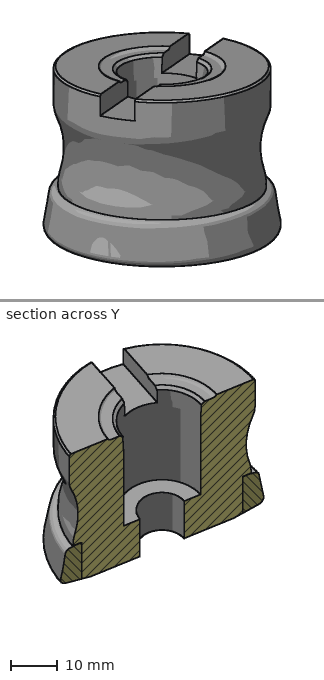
import cadquery as cq
import math

total_height = 38.1
foot_radius = 25.4
seat_height = 10.95

foot_taper = math.radians(9.5)
foot_rounding = 1.6
bottom_flat_radius = 17.75
spigot_radius = 20.15

head_radius = 46.45 / 2
shoulder_radius = 44.45 / 2
head_chamfer = 0.45
head_bottom = 29.9
shoulder_top = 11.9
head_rounding = 5.0
shoulder_rounding = 7.95
waist_arc_radius = 19.0

recess_radius = 13.55
recess_floor_radius = 12.55
recess_depth = 0.55
mouth_radius = 10.55
mouth_depth = 0.65
taper_top_radius = 9.75
bore_radius = 19.05 / 2
taper_bottom = 32.35
bore_floor = seat_height
through_radius = 11.0 / 2
slot_width = 8.1
slot_depth = 4.75


def underside_height(radius):
    """Height of the conical underside at a given radius."""
    return (radius - bottom_flat_radius) * math.tan(foot_taper)


def revolve_profile(profile):
    return profile.close().revolve(360, (0, 0, 0), (0, 1, 0))


def make_foot_ring():
    center_r = foot_radius - foot_rounding
    center_z = underside_height(center_r) + foot_rounding / math.cos(foot_taper)
    low_end = (
        center_r + foot_rounding * math.sin(foot_taper),
        center_z - foot_rounding * math.cos(foot_taper),
    )
    widest = (foot_radius, center_z)
    side_start = (
        center_r + foot_rounding * math.cos(foot_taper),
        center_z + foot_rounding * math.sin(foot_taper),
    )

    upper_z = seat_height - foot_rounding
    side_end_z = upper_z + foot_rounding * math.sin(foot_taper)
    side_end_r = side_start[0] - (side_end_z - side_start[1]) * math.tan(foot_taper)
    upper_r = side_end_r - foot_rounding * math.cos(foot_taper)
    middle_angle = (math.pi / 2 + foot_taper) / 2
    upper_middle = (
        upper_r + foot_rounding * math.cos(middle_angle),
        upper_z + foot_rounding * math.sin(middle_angle),
    )

    profile = (
        cq.Workplane("XZ")
        .moveTo(spigot_radius, underside_height(spigot_radius))
        .lineTo(*low_end)
        .threePointArc(widest, side_start)
        .lineTo(side_end_r, side_end_z)
        .threePointArc(upper_middle, (upper_r, seat_height))
        .lineTo(spigot_radius, seat_height)
    )
    return revolve_profile(profile)


def make_housing_blank():
    head_center = (head_radius - head_rounding, head_bottom)
    shoulder_center = (shoulder_radius - shoulder_rounding, shoulder_top)
    head_reach = waist_arc_radius + head_rounding
    shoulder_reach = waist_arc_radius + shoulder_rounding
    step_r = head_center[0] - shoulder_center[0]
    step_z = head_center[1] - shoulder_center[1]
    spacing = math.hypot(step_r, step_z)
    along = (shoulder_reach**2 - head_reach**2 + spacing**2) / (2 * spacing)
    outward = math.sqrt(shoulder_reach**2 - along**2)
    waist_center = (
        shoulder_center[0] + (along * step_r + outward * step_z) / spacing,
        shoulder_center[1] + (along * step_z - outward * step_r) / spacing,
    )
    waist = (waist_center[0] - waist_arc_radius, waist_center[1])

    def point_toward_waist(center, rounding, turn):
        """Point on a convex arc; turn is the fraction of the way from level to the waist arc."""
        full_angle = math.atan2(waist_center[1] - center[1], waist_center[0] - center[0])
        angle = turn * full_angle
        return (center[0] + rounding * math.cos(angle), center[1] + rounding * math.sin(angle))

    shoulder_middle = point_toward_waist(shoulder_center, shoulder_rounding, 0.5)
    shoulder_touch = point_toward_waist(shoulder_center, shoulder_rounding, 1)
    head_middle = point_toward_waist(head_center, head_rounding, 0.5)
    head_touch = point_toward_waist(head_center, head_rounding, 1)

    profile = (
        cq.Workplane("XZ")
        .moveTo(0, 0)
        .lineTo(bottom_flat_radius, 0)
        .lineTo(spigot_radius, underside_height(spigot_radius))
        .lineTo(spigot_radius, seat_height)
        .lineTo(shoulder_radius, seat_height)
        .lineTo(shoulder_radius, shoulder_top)
        .threePointArc(shoulder_middle, shoulder_touch)
        .threePointArc(waist, head_touch)
        .threePointArc(head_middle, (head_radius, head_bottom))
        .lineTo(head_radius, total_height - head_chamfer)
        .lineTo(head_radius - head_chamfer, total_height)
        .lineTo(0, total_height)
    )
    return revolve_profile(profile)


def make_bore():
    recess_floor = total_height - recess_depth
    rim_width = recess_radius - recess_floor_radius
    rim_arc_radius = (rim_width**2 + recess_depth**2) / (2 * recess_depth)
    half_angle = math.asin(rim_width / rim_arc_radius) / 2
    rim_middle = (
        recess_floor_radius + rim_arc_radius * math.sin(half_angle),
        recess_floor + rim_arc_radius * (1 - math.cos(half_angle)),
    )
    profile = (
        cq.Workplane("XZ")
        .moveTo(0, 0)
        .lineTo(through_radius, 0)
        .lineTo(through_radius, bore_floor)
        .lineTo(bore_radius, bore_floor)
        .lineTo(bore_radius, taper_bottom)
        .lineTo(taper_top_radius, recess_floor - mouth_depth)
        .lineTo(mouth_radius, recess_floor)
        .lineTo(recess_floor_radius, recess_floor)
        .threePointArc(rim_middle, (recess_radius, total_height))
        .lineTo(0, total_height)
    )
    return revolve_profile(profile)


def make_slot():
    slot_length = 2 * foot_radius
    return (
        cq.Workplane("XY")
        .workplane(offset=total_height - slot_depth)
        .rect(slot_width, slot_length)
        .extrude(slot_depth)
    )


foot_ring = make_foot_ring()
housing = make_housing_blank().cut(make_bore()).cut(make_slot())

result = cq.Compound.makeCompound([housing.val(), foot_ring.val()])